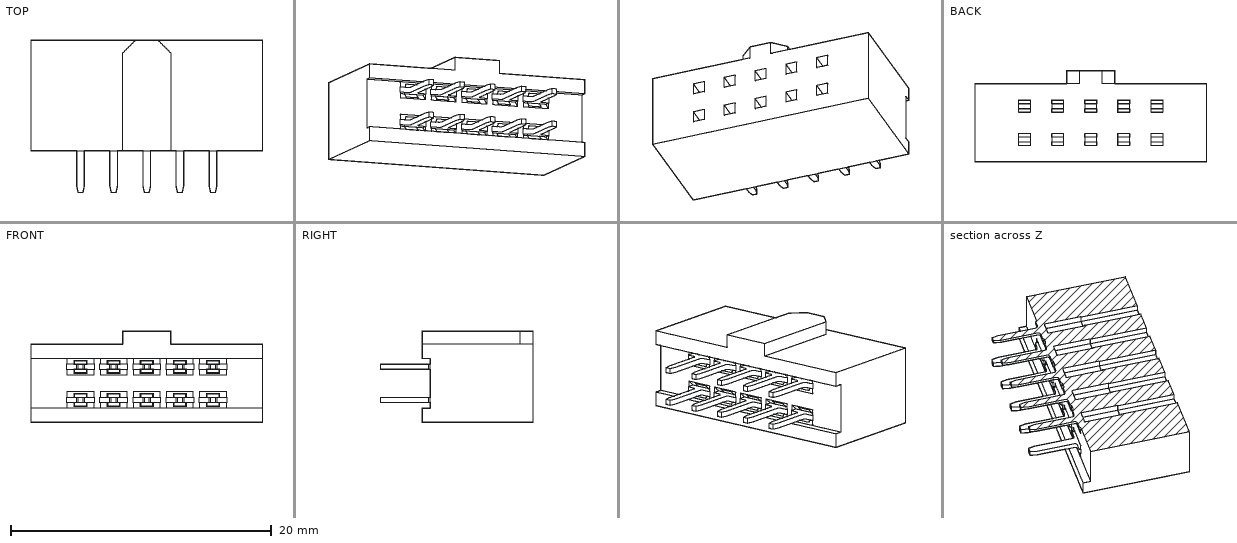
import cadquery as cq


housing_length = 17.78
housing_depth = 8.5
housing_height = 6.0
recess_depth = 0.6

key_width = 3.7
key_height = 1.0
key_chamfer = 1.0

pitch = 2.54
column_count = 5
row_count = 2

pocket_width = 2.05
pocket_height = 1.26
pocket_depth = 0.5

passage_size = 1.0
passage_end_y = 4.0
entry_size = 0.9

contact_thickness = 0.4
shoulder_width = 2.2
shoulder_projection = 0.1
bend_radius = 0.2
pin_width = 0.6
pin_tip_width = 0.38
pin_taper_length = 0.5
pin_projection = 3.2

pocket_end_y = recess_depth + pocket_depth
row_center_z = housing_height / 2
recess_height = (row_count - 1) * pitch + pocket_height
column_xs = [(i - (column_count - 1) / 2) * pitch for i in range(column_count)]
row_zs = [row_center_z + (i - (row_count - 1) / 2) * pitch for i in range(row_count)]


def box(width, height, y_start, y_end, x=0, z=0):
    """Box centred on (x, z) that runs from y_start to y_end."""
    depth = y_end - y_start
    return cq.Workplane("XY").box(width, depth, height).translate((x, y_start + depth / 2, z))


def make_housing():
    body = box(housing_length, housing_height, 0, housing_depth, z=row_center_z)
    recess = box(housing_length, recess_height, 0, recess_depth, z=row_center_z)
    return body.cut(recess)


def make_key():
    center_z = housing_height + key_height / 2
    key = box(key_width, key_height, 0, housing_depth, z=center_z)
    return key.edges("|Z and >Y").chamfer(key_chamfer)


def make_pocket(x, z):
    """Wedge-shaped contact pocket with its stepped passage."""
    wedge = (
        cq.Workplane("YZ")
        .moveTo(recess_depth, -pocket_height / 2)
        .lineTo(recess_depth, pocket_height / 2)
        .lineTo(pocket_end_y, contact_thickness / 2)
        .lineTo(pocket_end_y, -contact_thickness / 2)
        .close()
        .extrude(pocket_width / 2, both=True)
    )
    passage = box(passage_size, passage_size, recess_depth, passage_end_y)
    entry = box(entry_size, entry_size, recess_depth, housing_depth)
    return wedge.union(passage).union(entry).translate((x, 0, z))


def make_contact(x, z):
    """Flat contact: a wide shoulder held in the pocket and a tapered pin."""
    shoulder_y = recess_depth - shoulder_projection
    shoulder = box(shoulder_width, contact_thickness, shoulder_y, pocket_end_y)
    shoulder = shoulder.edges("|Z and <Y").fillet(bend_radius)
    pin = box(pin_width, contact_thickness, -pin_projection, shoulder_y)
    pin_taper = (pin_width - pin_tip_width) / 2
    pin = pin.faces("<Y").edges("|Z").chamfer(pin_taper_length, pin_taper)
    contact = shoulder.union(pin)
    root = cq.selectors.BoxSelector(
        (-pin_width, shoulder_y - bend_radius / 2, -contact_thickness),
        (pin_width, shoulder_y + bend_radius / 2, contact_thickness),
    )
    contact = contact.edges("|Z").edges(root).fillet(bend_radius)
    return contact.translate((x, 0, z))


result = make_housing().union(make_key())
for row_z in row_zs:
    for column_x in column_xs:
        result = result.cut(make_pocket(column_x, row_z))
        result = result.union(make_contact(column_x, row_z))